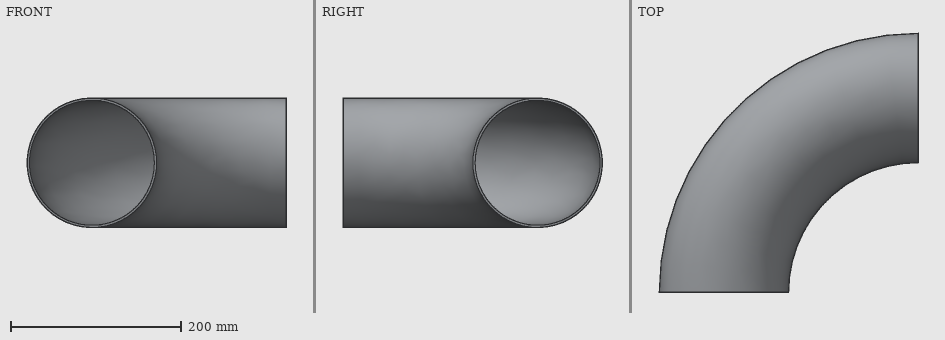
import cadquery as cq

overall_length = 304.8
outer_diameter = 152.5
wall_thickness = 2.7
bend_angle = 90.0

outer_radius = outer_diameter / 2
inner_radius = outer_radius - wall_thickness
bend_radius = overall_length - outer_radius

pipe_section = (
    cq.Workplane("XZ")
    .center(-bend_radius, 0)
    .circle(outer_radius)
    .circle(inner_radius)
)

result = pipe_section.revolve(bend_angle, (bend_radius, 0, 0), (bend_radius, -1, 0))